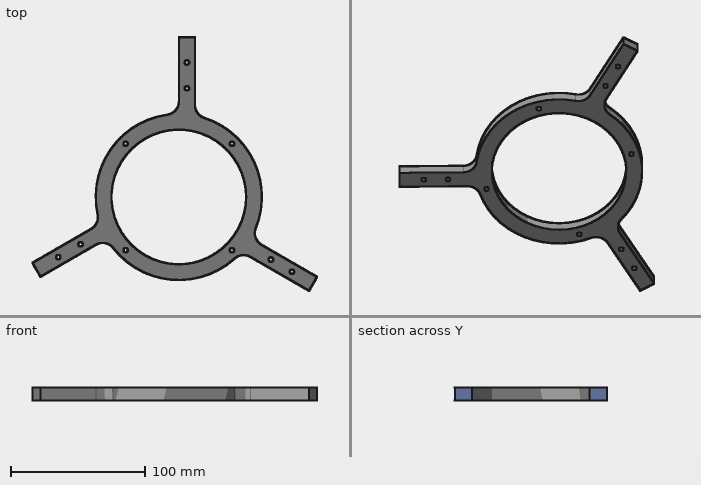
import cadquery as cq
import math

overall_width = 212.1
thickness = 10.0

ring_outer_radius = 62.0
ring_inner_radius = 50.0
ring_hole_count = 4
ring_hole_circle_radius = 56.0
ring_hole_start_angle = 45

arm_count = 3
arm_angle = 360.0 / arm_count
arm_width = 12.0
arm_reach = (overall_width - arm_width / 2) / (2 * math.cos(math.radians(30)))
fillet_radius = 10.0

hole_diameter = 3.2
arm_hole_distances = [(81.0, 100.1), (81.0, 100.1), (82.7, 100.8)]


def make_arm():
    """Arm pointing along +Y, starting inside the ring material."""
    arm_start = (ring_inner_radius + ring_outer_radius) / 2
    return (
        cq.Workplane("XY")
        .center(0, arm_start)
        .rect(arm_width, arm_reach - arm_start, centered=False)
        .extrude(thickness)
    )


def about_center(shape, angle):
    """Turn a shape about the ring axis."""
    return shape.rotate((0, 0, 0), (0, 0, 1), angle)


def make_arm_holes(distances):
    """Cutters on the centreline of an arm pointing along +Y."""
    points = [(arm_width / 2, distance) for distance in distances]
    return (
        cq.Workplane("XY")
        .pushPoints(points)
        .circle(hole_diameter / 2)
        .extrude(thickness)
    )


body = cq.Workplane("XY").circle(ring_outer_radius).extrude(thickness)
for index in range(arm_count):
    body = body.union(about_center(make_arm(), index * arm_angle))

arm_root_points = [
    (0, ring_outer_radius),
    (arm_width, math.sqrt(ring_outer_radius**2 - arm_width**2)),
]
for index in range(arm_count):
    for x, y in arm_root_points:
        turn = math.radians(index * arm_angle)
        root_x = x * math.cos(turn) - y * math.sin(turn)
        root_y = x * math.sin(turn) + y * math.cos(turn)
        root_edge = cq.NearestToPointSelector((root_x, root_y, thickness / 2))
        body = body.edges("|Z").edges(root_edge).fillet(fillet_radius)

body = body.cut(cq.Workplane("XY").circle(ring_inner_radius).extrude(thickness))

ring_holes = (
    cq.Workplane("XY")
    .polarArray(ring_hole_circle_radius, ring_hole_start_angle, 360, ring_hole_count)
    .circle(hole_diameter / 2)
    .extrude(thickness)
)
body = body.cut(ring_holes)

for index, distances in enumerate(arm_hole_distances):
    body = body.cut(about_center(make_arm_holes(distances), index * arm_angle))

result = body